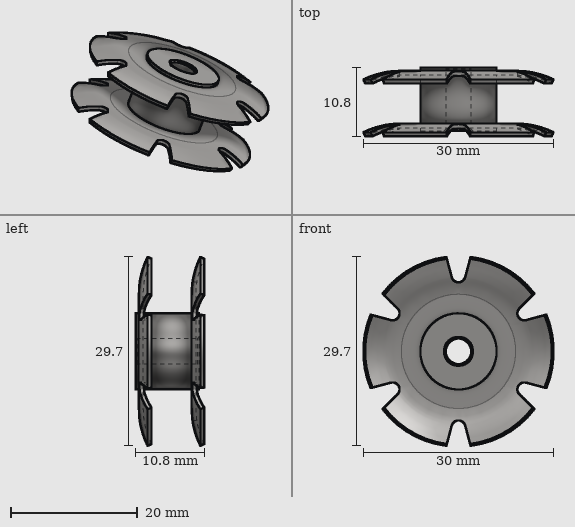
import cadquery as cq
import math

hub_radius = 6.0
hub_length = 10.0
bore_radius = 2.0
bore_chamfer = 0.28

flange_thickness = 0.7
flange_inset = 0.5
flat_radius = 9.0
rim_radius = 14.99
dish_radius = 13.5

notch_count = 6
notch_floor = 10.88
notch_round = 1.08
notch_half_angle = math.radians(15)
notch_overrun = 1.0
notch_top = rim_radius + notch_overrun

profile_plane = cq.Plane(origin=(0, 0, 0), xDir=(0, 0, 1), normal=(-1, 0, 0))


def make_hub():
    """Solid cylinder from Y = 0 to Y = hub_length."""
    return cq.Workplane("XZ").circle(hub_radius).extrude(-hub_length)


def make_dished_disc(back_y):
    """Flat disc with its back face at back_y and a rim bent toward -Y."""
    front_y = back_y - flange_thickness
    bend_center_y = back_y - dish_radius
    inner_dish_radius = dish_radius - flange_thickness
    bend_angle = math.asin((rim_radius - flat_radius) / dish_radius)

    def on_bend(radius, angle):
        return (flat_radius + radius * math.sin(angle), bend_center_y + radius * math.cos(angle))

    return (
        cq.Workplane(profile_plane)
        .moveTo(0, front_y)
        .lineTo(flat_radius, front_y)
        .threePointArc(on_bend(inner_dish_radius, bend_angle / 2), on_bend(inner_dish_radius, bend_angle))
        .lineTo(*on_bend(dish_radius, bend_angle))
        .threePointArc(on_bend(dish_radius, bend_angle / 2), (flat_radius, back_y))
        .lineTo(0, back_y)
        .close()
        .revolve(360, (0, 0, 0), (0, 1, 0))
    )


def make_notch_cutter():
    """Tapered notch on the +Z side, running past both flanges along Y."""
    round_center = notch_floor + notch_round
    tangent_x = notch_round * math.cos(notch_half_angle)
    tangent_z = round_center - notch_round * math.sin(notch_half_angle)
    top_x = tangent_x + (notch_top - tangent_z) * math.tan(notch_half_angle)
    return (
        cq.Workplane("XZ")
        .moveTo(-top_x, notch_top)
        .lineTo(-tangent_x, tangent_z)
        .threePointArc((0, notch_floor), (tangent_x, tangent_z))
        .lineTo(top_x, notch_top)
        .close()
        .extrude(hub_length, both=True)
    )


def cut_notches(body):
    """Cut the notches, evenly spaced around the Y axis."""
    cutter = make_notch_cutter()
    for index in range(notch_count):
        angle = index * 360 / notch_count
        body = body.cut(cutter.rotate((0, 0, 0), (0, 1, 0), angle))
    return body


def cut_bore(body):
    """Through bore, chamfered at both ends."""
    mouth_radius = bore_radius + bore_chamfer
    bore = (
        cq.Workplane(profile_plane)
        .moveTo(0, 0)
        .lineTo(mouth_radius, 0)
        .lineTo(bore_radius, bore_chamfer)
        .lineTo(bore_radius, hub_length - bore_chamfer)
        .lineTo(mouth_radius, hub_length)
        .lineTo(0, hub_length)
        .close()
        .revolve(360, (0, 0, 0), (0, 1, 0))
    )
    return body.cut(bore)


front_flange = make_dished_disc(flange_inset + flange_thickness)
back_flange = make_dished_disc(hub_length - flange_inset)
spool = make_hub().union(front_flange).union(back_flange)
result = cut_bore(cut_notches(spool))